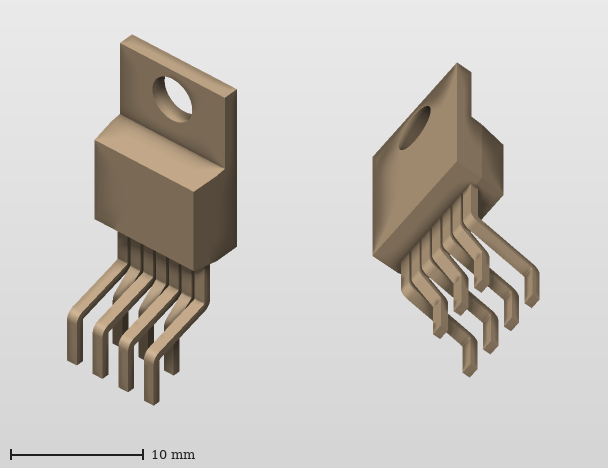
import cadquery as cq
import math

total_height = 25.55
body_width = 10.4
total_depth = 8.58

tab_thickness = 1.4
hole_diameter = 3.93
hole_drop = 2.78
tongue_width = 8.28

housing_depth = 4.68
housing_base = 10.55
parting_depth = 2.38
top_height_at_back = 18.95
draft_angle = 7.0

lead_count = 7
lead_row_span = 7.61
lead_width = 0.97
lead_thickness = 0.7
inner_bend_radius = 0.18
outer_bend_radius = inner_bend_radius + lead_thickness
long_lead_depth = total_depth
short_lead_depth = 4.78
long_lead_slope = 16.0
short_lead_slope = 39.0
long_knee_height = 5.95
short_knee_height = 6.03

draft = math.tan(math.radians(draft_angle))
lead_plane = -parting_depth


def top_height(depth):
    """Height of the housing's sloping top at a given depth from the back."""
    return top_height_at_back - draft * depth


def make_housing():
    """Block with a sloping top, whose front half tapers at the bottom and on both sides."""
    taper = draft * (housing_depth - parting_depth)
    side_profile = [
        (0, housing_base),
        (-parting_depth, housing_base),
        (-housing_depth, housing_base + taper),
        (-housing_depth, top_height(housing_depth)),
        (0, top_height_at_back),
    ]
    half_width = body_width / 2
    plan_profile = [
        (-half_width, 0),
        (-half_width, -parting_depth),
        (-half_width + taper, -housing_depth),
        (half_width - taper, -housing_depth),
        (half_width, -parting_depth),
        (half_width, 0),
    ]
    block = cq.Workplane("YZ").polyline(side_profile).close().extrude(half_width, both=True)
    plan = cq.Workplane("XY").polyline(plan_profile).close().extrude(total_height)
    return block.intersect(plan)


def make_tab():
    """Plate on the housing's sloping top, with a round hole and a tongue let into the housing."""
    profile = [
        (0, top_height_at_back),
        (-tab_thickness, top_height(tab_thickness)),
        (-tab_thickness, total_height),
        (0, total_height),
    ]
    plate = cq.Workplane("YZ").polyline(profile).close().extrude(body_width / 2, both=True)
    hole = (
        cq.Workplane("XZ")
        .center(0, total_height - hole_drop)
        .circle(hole_diameter / 2)
        .extrude(tab_thickness)
    )
    tongue = (
        cq.Workplane("XY")
        .box(tongue_width, tab_thickness, total_height - housing_base, centered=(True, False, False))
        .translate((0, -tab_thickness, housing_base))
    )
    return plate.union(tongue).cut(hole)


def make_lead(x, foot_depth, slope_angle, knee_height, housing):
    """Flat strip: straight down from the housing, sloping forward, then straight down to the tip."""
    half = lead_thickness / 2
    foot_plane = half - foot_depth
    reach = lead_plane - foot_plane
    ankle_height = knee_height - reach * math.tan(math.radians(slope_angle))
    miter = half * math.tan(math.radians(90 - slope_angle) / 2)

    knee_front = (lead_plane - half, knee_height + miter)
    knee_back = (lead_plane + half, knee_height - miter)
    ankle_front = (foot_plane - half, ankle_height + miter)
    ankle_back = (foot_plane + half, ankle_height - miter)
    lead_top = housing_base + lead_thickness
    outline = [
        (lead_plane + half, lead_top),
        (lead_plane - half, lead_top),
        knee_front,
        ankle_front,
        (foot_plane - half, 0),
        (foot_plane + half, 0),
        ankle_back,
        knee_back,
    ]
    lead = (
        cq.Workplane("YZ", origin=(x, 0, 0))
        .polyline(outline)
        .close()
        .extrude(lead_width / 2, both=True)
    )
    bends = [
        (knee_front, inner_bend_radius),
        (knee_back, outer_bend_radius),
        (ankle_front, outer_bend_radius),
        (ankle_back, inner_bend_radius),
    ]
    for (y, z), radius in bends:
        lead = lead.edges("|X").edges(cq.NearestToPointSelector((x, y, z))).fillet(radius)
    return lead.cut(housing)


def make_leads(housing):
    """Row of leads, long and short in turn, starting and ending with a long one."""
    pitch = lead_row_span / (lead_count - 1)
    leads = []
    for i in range(lead_count):
        x = i * pitch - lead_row_span / 2
        if i % 2 == 0:
            lead = make_lead(x, long_lead_depth, long_lead_slope, long_knee_height, housing)
        else:
            lead = make_lead(x, short_lead_depth, short_lead_slope, short_knee_height, housing)
        leads.append(lead.val())
    return leads


tab = make_tab()
housing = make_housing().cut(tab)
leads = make_leads(housing)

result = cq.Compound.makeCompound([housing.val(), tab.val(), *leads])